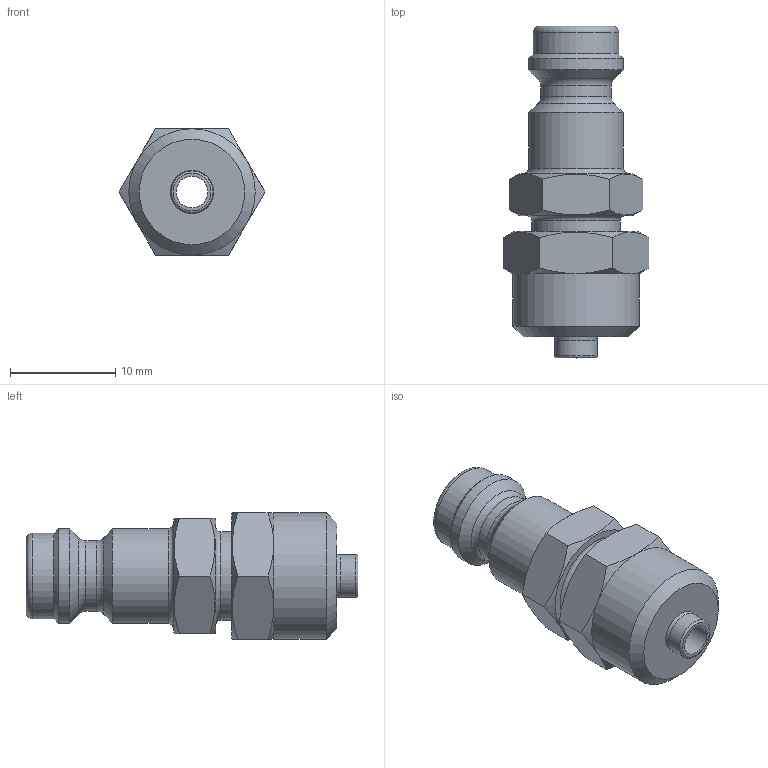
import cadquery as cq
import math


bore_radius = 1.5
spigot_radius = 2.0
spigot_root_radius = 2.07
cap_radius = 6.0
neck_radius = 4.2
body_radius = 4.5
groove_radius = 3.35
head_radius = 4.05

cap_hex_flats = 12.0
body_hex_flats = 11.0

spigot_length = 2.0
spigot_root_length = 0.35
cap_length = 6.0
hex_width = 4.0
neck_length = 1.5
body_length = 5.8
groove_length = 4.05
collar_width = 1.05
collar_chamfer = body_radius - head_radius
head_length = 2.65

spigot_rounding = 0.2
cap_chamfer = 1.0
shoulder_fillet = 0.5
groove_fillet = 1.0
groove_flank_angle = 46.0
head_rounding = 0.6
hex_chamfer_angle = 30.0
hex_chamfer_inset = 0.1

cap_front = spigot_length
cap_hex_front = cap_front + cap_length
cap_hex_back = cap_hex_front + hex_width
body_hex_front = cap_hex_back + neck_length
body_hex_back = body_hex_front + hex_width
body_back = body_hex_back + body_length
collar_front = body_back + groove_length
collar_back = collar_front + collar_width
head_front = collar_back + collar_chamfer
head_back = head_front + head_length


def revolve_profile(profile):
    """Turn a closed (radius, Y) profile about the Y axis."""
    return profile.close().revolve(360, (0, 0, 0), (0, 1, 0))


def make_cap():
    """Round cap with a chamfered front edge and the spigot in front of it."""
    profile = (
        cq.Workplane("XY")
        .lineTo(spigot_radius - spigot_rounding, 0)
        .radiusArc((spigot_radius, spigot_rounding), -spigot_rounding)
        .lineTo(spigot_radius, cap_front - spigot_root_length)
        .lineTo(spigot_root_radius, cap_front)
        .lineTo(cap_radius - cap_chamfer, cap_front)
        .lineTo(cap_radius, cap_front + cap_chamfer)
        .lineTo(cap_radius, cap_hex_front)
        .lineTo(0, cap_hex_front)
    )
    return revolve_profile(profile)


def make_hex(front, flats, front_inset, back_inset):
    """Hexagon with two corners on the X axis, both ends chamfered by cones."""
    corner_radius = flats / math.sqrt(3)
    prism = (
        cq.Workplane("XZ", origin=(0, front, 0))
        .polygon(6, 2 * corner_radius)
        .extrude(-hex_width)
    )
    slope = math.tan(math.radians(hex_chamfer_angle))
    front_rim = flats / 2 - front_inset
    back_rim = flats / 2 - back_inset
    back = front + hex_width
    envelope = (
        cq.Workplane("XY")
        .moveTo(0, front)
        .lineTo(front_rim, front)
        .lineTo(corner_radius, front + (corner_radius - front_rim) * slope)
        .lineTo(corner_radius, back - (corner_radius - back_rim) * slope)
        .lineTo(back_rim, back)
        .lineTo(0, back)
    )
    return prism.intersect(revolve_profile(envelope))


def make_neck():
    """Round neck between the hexagons, filleted into the body hexagon."""
    profile = (
        cq.Workplane("XY")
        .moveTo(0, cap_hex_back)
        .lineTo(neck_radius, cap_hex_back)
        .lineTo(neck_radius, body_hex_front - shoulder_fillet)
        .radiusArc((neck_radius + shoulder_fillet, body_hex_front), shoulder_fillet)
        .lineTo(0, body_hex_front)
    )
    return revolve_profile(profile)


def make_plug():
    """Plug body with the locking groove, the collar and the rounded head."""
    groove_depth = body_radius - groove_radius
    flank_angle = math.radians(groove_flank_angle)
    tangent_length = groove_fillet * math.tan(flank_angle / 2)
    flank_run = tangent_length * math.cos(flank_angle)
    flank_rise = tangent_length * math.sin(flank_angle)
    flank_length = groove_depth / math.tan(flank_angle)
    floor_front = body_back + flank_length
    floor_back = collar_front - flank_length
    flank_radius = groove_radius + flank_rise
    profile = (
        cq.Workplane("XY")
        .moveTo(0, body_hex_back)
        .lineTo(body_radius + shoulder_fillet, body_hex_back)
        .radiusArc((body_radius, body_hex_back + shoulder_fillet), shoulder_fillet)
        .lineTo(body_radius, body_back)
        .lineTo(flank_radius, floor_front - flank_run)
        .radiusArc((groove_radius, floor_front + tangent_length), groove_fillet)
        .lineTo(groove_radius, floor_back - tangent_length)
        .radiusArc((flank_radius, floor_back + flank_run), groove_fillet)
        .lineTo(body_radius, collar_front)
        .lineTo(body_radius, collar_back)
        .lineTo(head_radius, head_front)
        .lineTo(head_radius, head_back - head_rounding)
        .radiusArc((head_radius - head_rounding, head_back), -head_rounding)
        .lineTo(0, head_back)
    )
    return revolve_profile(profile)


def make_bore():
    """Straight passage through the whole coupling."""
    return cq.Workplane("XZ").circle(bore_radius).extrude(-head_back)


cap_hex = make_hex(cap_hex_front, cap_hex_flats, 0, hex_chamfer_inset)
body_hex = make_hex(body_hex_front, body_hex_flats, hex_chamfer_inset, hex_chamfer_inset)
solid_body = make_cap().union(cap_hex).union(make_neck()).union(body_hex).union(make_plug())
result = solid_body.cut(make_bore())